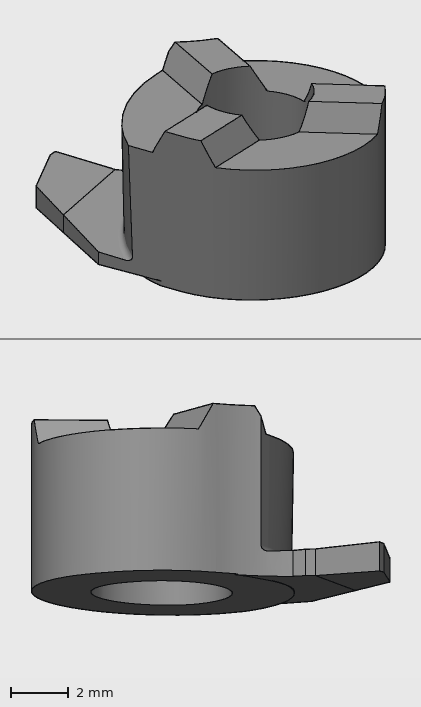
import cadquery as cq
import math

hub_diameter = 9.0
hub_radius = hub_diameter / 2
top_height = 5.93
ridge_height = 0.93
floor_height = top_height - ridge_height

bore_radius = 2.04
seat_radius = 2.45
seat_top = 3.0
seat_bottom = 2.42

ridge_half_top = 0.73
ridge_half_base = 1.25
ridge_angles = (30, 150, 270)

overall_length = 13.5
tip_x = hub_radius - overall_length
rake_line_y = 1.0
tip_flat_end_y = 0.68
nose_corner = (-8.09, -1.55)
arm_front_x = -3.5
tip_top_z = 0.9
tip_bottom_z = -0.12
taper_angle = 1.0
top_slope = 2.0
bottom_slope = 1.7

joint_back = (-6.51, rake_line_y)
joint_front = (-6.08, -2.85)

relief_start_angle = 142.2
relief_middle = (-4.41, 1.88)
relief_end = (-5.71, 1.16)
relief_toe = (-6.18, 1.13)

wall_center_x = 2.62
wall_radius = 7.35
wall_lean = 2.0
wall_fillet = 0.2

boss_radius = 4.59
heel_angle = 1.0

reach = 27.0


def arm_region(edge_z, slope, taper, direction):
    """Space above (direction 1) or below (-1) an arm surface, folded along the rake line."""
    front_z = edge_z - reach * math.tan(math.radians(slope))
    far_z = edge_z + direction * reach
    profile = [
        (rake_line_y + reach, edge_z),
        (rake_line_y, edge_z),
        (rake_line_y - reach, front_z),
        (rake_line_y - reach, far_z),
        (rake_line_y + reach, far_z),
    ]
    region = cq.Workplane("YZ", origin=(-reach, 0, 0)).polyline(profile).close().extrude(2 * reach)
    return region.rotate((tip_x, 0, edge_z), (tip_x, 1, edge_z), taper)


def blank():
    """Plan outline of hub, arm and tip, extruded to full height."""
    relief_angle = math.radians(relief_start_angle)
    relief_start = (hub_radius * math.cos(relief_angle), hub_radius * math.sin(relief_angle))
    outline = (
        cq.Workplane("XY", origin=(0, 0, tip_bottom_z))
        .moveTo(0, -hub_radius)
        .threePointArc((hub_radius, 0), relief_start)
        .threePointArc(relief_middle, relief_end)
        .lineTo(*relief_toe)
        .lineTo(*joint_back)
        .lineTo(tip_x, rake_line_y)
        .lineTo(tip_x, tip_flat_end_y)
        .lineTo(*nose_corner)
        .lineTo(arm_front_x, -hub_radius)
        .close()
    )
    return outline.extrude(top_height - tip_bottom_z)


def space_above_arm():
    """Space over the arm, outside the leaning wall of the hub."""
    wall = (
        cq.Workplane("XY", origin=(wall_center_x, rake_line_y, -reach))
        .moveTo(-wall_radius, reach)
        .lineTo(-wall_radius, 0)
        .threePointArc((0, -wall_radius), (wall_radius, 0))
        .lineTo(wall_radius, reach)
        .close()
        .extrude(2 * reach)
        .rotate((0, 0, floor_height), (1, 0, floor_height), wall_lean)
    )
    space = arm_region(tip_top_z, top_slope, taper_angle, 1).cut(wall)
    low_box = cq.selectors.BoxSelector((-reach, -reach, -floor_height), (reach, reach, floor_height))
    return space.edges(low_box).edges("not %LINE").fillet(wall_fillet)


def boss_column():
    """Tall cylinder over the round boss on the underside."""
    return cq.Workplane("XY", origin=(0, 0, -reach)).circle(boss_radius).extrude(2 * reach)


def space_below_arm():
    """Clearance under the arm, outside the round boss on the hub underside."""
    return arm_region(tip_bottom_z, -bottom_slope, -taper_angle, -1).cut(boss_column())


def space_below_hub():
    """Space under the boss: flat for -X, rising gently toward +X."""
    heel_z = reach * math.tan(math.radians(heel_angle))
    profile = [(-reach, 0), (0, 0), (reach, heel_z), (reach, -reach), (-reach, -reach)]
    region = cq.Workplane("XZ", origin=(0, reach, 0)).polyline(profile).close().extrude(2 * reach)
    return region.intersect(boss_column())


def space_between_ridges():
    """Layer at the top of the hub, less the three trapezoidal ridges."""
    layer = cq.Workplane("XY", origin=(0, 0, floor_height)).circle(reach).extrude(reach)
    profile = [
        (-ridge_half_base, floor_height),
        (ridge_half_base, floor_height),
        (ridge_half_top, top_height),
        (-ridge_half_top, top_height),
    ]
    ridge = cq.Workplane("YZ").polyline(profile).close().extrude(reach)
    for angle in ridge_angles:
        layer = layer.cut(ridge.rotate((0, 0, 0), (0, 0, 1), angle))
    return layer


def bore():
    """Through bore with a conical seat and a wider lower end."""
    profile = [
        (0, -reach),
        (seat_radius, -reach),
        (seat_radius, seat_bottom),
        (bore_radius, seat_top),
        (bore_radius, reach),
        (0, reach),
    ]
    return cq.Workplane("XZ").polyline(profile).close().revolve(360, (0, 0, 0), (0, 1, 0))


def tip_space():
    """Everything on the -X side of the straight joint between arm and tip."""
    run = (joint_front[0] - joint_back[0]) / (joint_front[1] - joint_back[1])
    back_x = joint_back[0] + run * reach
    front_x = joint_back[0] - run * reach
    corners = [
        (back_x, rake_line_y + reach),
        (front_x, rake_line_y - reach),
        (-2 * reach, rake_line_y - reach),
        (-2 * reach, rake_line_y + reach),
    ]
    return cq.Workplane("XY", origin=(0, 0, -reach)).polyline(corners).close().extrude(2 * reach)


insert = blank().cut(space_above_arm())
insert = insert.cut(space_below_arm())
insert = insert.cut(space_below_hub())
insert = insert.cut(space_between_ridges())
insert = insert.cut(bore())

tip = insert.intersect(tip_space())
holder = insert.cut(tip_space())

result = cq.Compound.makeCompound([holder.val(), tip.val()])